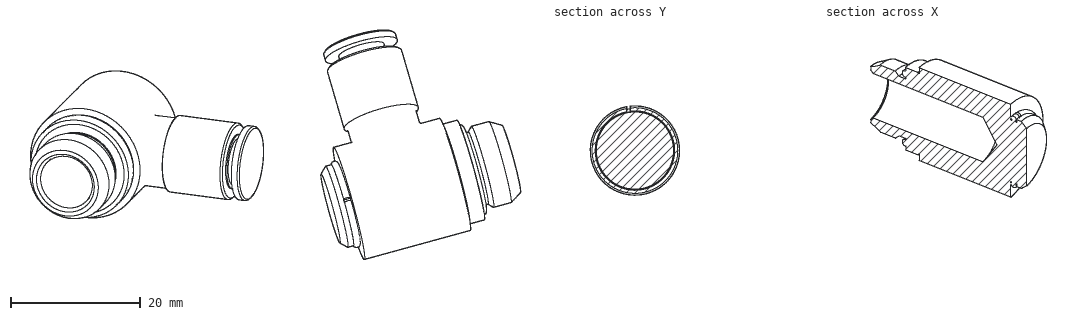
import cadquery as cq
import math


barrel_radius = 18.0 / 2
barrel_half_length = 8.5

screw_radius = 13.0 / 2
head_end = 11.45
head_chamfer_length = 1.0
head_chamfer_depth = 0.95
thread_end = -17.53
thread_tip_radius = 5.4
thread_tip_length = 1.83
thread_start = -12.9
relief_radius = 11.6 / 2
relief_end = -12.22

washer_radius = 16.0 / 2
washer_bottom = -11.02
washer_gap = 0.15
spacer_radius = 7.85
seal_section_radius = 0.65
seal_outer_radius = 7.3

snap_section_radius = 0.53
snap_outer_radius = 6.9
snap_center = 9.03
snap_groove_radius = 12.0 / 2
snap_groove_end = snap_center + snap_section_radius
snap_gap_width = 0.5
snap_gap_center = -1.0

bore_radius = 8.5 / 2
bore_mouth_radius = 4.75
bore_bottom = 3.32
drill_tip_angle = 118

neck_radius = 11.0 / 2
neck_fillet = 0.45
neck_end = 11.22
sleeve_radius = 11.95 / 2
sleeve_end = 21.48
sleeve_chamfer = 0.3
lip_radius = 8.5 / 2
lip_end = 21.68
stem_radius = 7.3 / 2
flange_radius = 11.6 / 2
flange_start = 22.97
flange_chamfer = 0.25
branch_end = 33.2 - barrel_radius


def cylinder_y(radius, start, end):
    """Cylinder along Y between two positions."""
    return cq.Workplane("XZ", origin=(0, end, 0)).circle(radius).extrude(end - start)


def ring_y(outer_radius, section_radius, position):
    """Round-section ring around the Y axis."""
    center_radius = outer_radius - section_radius
    section = (
        cq.Workplane("XY", origin=(center_radius, position, 0))
        .transformed(rotate=(0, 0, 180))
        .circle(section_radius)
    )
    return section.revolve(360, (center_radius, 0), (center_radius, 1))


def make_barrel_with_neck():
    """Barrel and neck, blended along the curve where they meet."""
    barrel = cylinder_y(barrel_radius, -barrel_half_length, barrel_half_length)
    neck = cq.Workplane("YZ").circle(neck_radius).extrude(neck_end)
    clearance = 0.33
    reach = neck_radius + clearance
    meeting_curve = cq.selectors.BoxSelector(
        (clearance, -reach, -reach),
        (neck_end - clearance, reach, reach),
    )
    return barrel.union(neck).edges(meeting_curve).fillet(neck_fillet)


def make_branch_end():
    """Sleeve, stem and release flange."""
    core_radius = neck_radius / 2
    shoulder = sleeve_radius - neck_radius
    sleeve_start = neck_end + shoulder
    arc_middle = (
        neck_end + shoulder * math.sin(math.pi / 4),
        sleeve_radius - shoulder * math.cos(math.pi / 4),
    )
    return (
        cq.Workplane("XY")
        .moveTo(0, 0)
        .lineTo(0, core_radius)
        .lineTo(neck_end, core_radius)
        .lineTo(neck_end, neck_radius)
        .threePointArc(arc_middle, (sleeve_start, sleeve_radius))
        .lineTo(sleeve_end - sleeve_chamfer, sleeve_radius)
        .lineTo(sleeve_end, sleeve_radius - sleeve_chamfer)
        .lineTo(sleeve_end, lip_radius)
        .lineTo(lip_end, lip_radius)
        .lineTo(lip_end, stem_radius)
        .lineTo(flange_start, stem_radius)
        .lineTo(flange_start, flange_radius)
        .lineTo(branch_end - flange_chamfer, flange_radius)
        .lineTo(branch_end, flange_radius - flange_chamfer)
        .lineTo(branch_end, 0)
        .close()
        .revolve(360, (0, 0), (1, 0))
    )


def make_screw():
    """Solid screw with chamfered head, washer and thread relief."""
    washer_top = -barrel_half_length - washer_gap
    outline = [
        (0, thread_end),
        (thread_tip_radius, thread_end),
        (screw_radius, thread_end + thread_tip_length),
        (screw_radius, thread_start),
        (relief_radius, relief_end),
        (relief_radius, washer_bottom),
        (washer_radius, washer_bottom),
        (washer_radius, washer_top),
        (spacer_radius, washer_top),
        (spacer_radius, -barrel_half_length),
        (snap_groove_radius, -barrel_half_length),
        (snap_groove_radius, snap_groove_end),
        (screw_radius, snap_groove_end),
        (screw_radius, head_end - head_chamfer_length),
        (screw_radius - head_chamfer_depth, head_end),
        (0, head_end),
    ]
    return cq.Workplane("XY").polyline(outline).close().revolve(360, (0, 0), (0, 1))


def make_seal():
    """O-ring on the underside of the washer."""
    return ring_y(seal_outer_radius, seal_section_radius, washer_bottom)


def make_snap_ring():
    """Snap ring with its open gap facing +Z."""
    gap = (
        cq.Workplane("XY")
        .center(snap_gap_center, snap_center)
        .rect(snap_gap_width, 4 * snap_section_radius)
        .extrude(2 * snap_outer_radius)
    )
    return ring_y(snap_outer_radius, snap_section_radius, snap_center).cut(gap)


def make_bore():
    """Blind drilled hole with a chamfered mouth and a conical bottom."""
    mouth_depth = bore_mouth_radius - bore_radius
    tip_length = bore_radius / math.tan(math.radians(drill_tip_angle / 2))
    outline = [
        (0, thread_end),
        (bore_mouth_radius, thread_end),
        (bore_radius, thread_end + mouth_depth),
        (bore_radius, bore_bottom),
        (0, bore_bottom + tip_length),
    ]
    return cq.Workplane("XY").polyline(outline).close().revolve(360, (0, 0), (0, 1))


result = (
    make_barrel_with_neck()
    .union(make_branch_end())
    .union(make_screw())
    .union(make_seal())
    .union(make_snap_ring())
    .cut(make_bore())
)